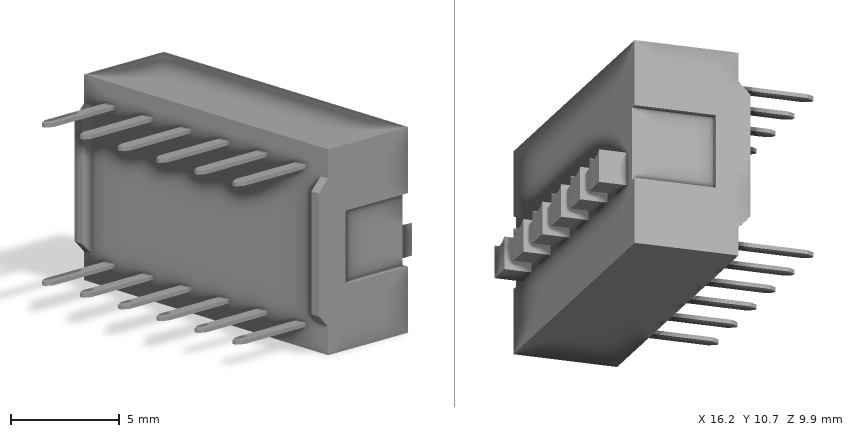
import cadquery as cq

body_width = 16.24
body_depth = 5.08
body_height = 9.9

position_count = 6
row_length = 12.7
pitch = row_length / (position_count - 1)
row_spacing = 3 * pitch

pin_length = 4.29
pin_width = 0.6
pin_thickness = 0.2
tip_length = 0.35
tip_width = 0.21

rail_width = 0.49
rail_depth = 0.6
rail_height = 7.13

pocket_height = 3.54
pocket_length = 4.0
pocket_depth = 0.35

actuator_width = 1.32
actuator_height = 1.59
actuator_length = 1.33
dish_depth = 0.25
actuator_bottom = -pocket_height / 2
actuator_top = actuator_bottom + actuator_height

position_xs = [(i - (position_count - 1) / 2) * pitch for i in range(position_count)]


def make_body():
    return cq.Workplane("XY").box(body_width, body_depth, body_height).translate((0, body_depth / 2, 0))


def make_rail(side):
    """Standoff rail with 45 degree ends; side is -1 or +1 along X."""
    half_height = rail_height / 2
    half_crest = half_height - rail_depth
    profile = [
        (0, -half_height),
        (-rail_depth, -half_crest),
        (-rail_depth, half_crest),
        (0, half_height),
    ]
    rail_center = side * (body_width - rail_width) / 2
    return (
        cq.Workplane("YZ", origin=(rail_center, 0, 0))
        .polyline(profile)
        .close()
        .extrude(rail_width / 2, both=True)
    )


def make_pocket(side):
    """Cutter for the pocket in one end face; side is -1 or +1 along X."""
    center = (side * (body_width - pocket_depth) / 2, body_depth - pocket_length / 2, 0)
    return cq.Workplane("XY").box(pocket_depth, pocket_length, pocket_height).translate(center)


def make_pin(x, z):
    """Flat pin projecting towards -Y, narrowed at its tip."""
    half_width = pin_width / 2
    half_tip = tip_width / 2
    shoulder = tip_length - pin_length
    profile = [
        (-half_width, 0),
        (-half_width, shoulder),
        (-half_tip, -pin_length),
        (half_tip, -pin_length),
        (half_width, shoulder),
        (half_width, 0),
    ]
    return (
        cq.Workplane("XY")
        .polyline(profile)
        .close()
        .extrude(pin_thickness / 2, both=True)
        .translate((x, 0, z))
    )


def make_actuator(x):
    """Actuator projecting towards +Y, its top a concave arc across its width."""
    half_width = actuator_width / 2
    return (
        cq.Workplane("XZ")
        .moveTo(-half_width, actuator_bottom)
        .lineTo(half_width, actuator_bottom)
        .lineTo(half_width, actuator_top)
        .threePointArc((0, actuator_top - dish_depth), (-half_width, actuator_top))
        .close()
        .extrude(-actuator_length)
        .translate((x, body_depth, 0))
    )


result = make_body()

for side in (-1, 1):
    result = result.cut(make_pocket(side)).union(make_rail(side))

for x in position_xs:
    result = result.union(make_actuator(x))
    for z in (-row_spacing / 2, row_spacing / 2):
        result = result.union(make_pin(x, z))